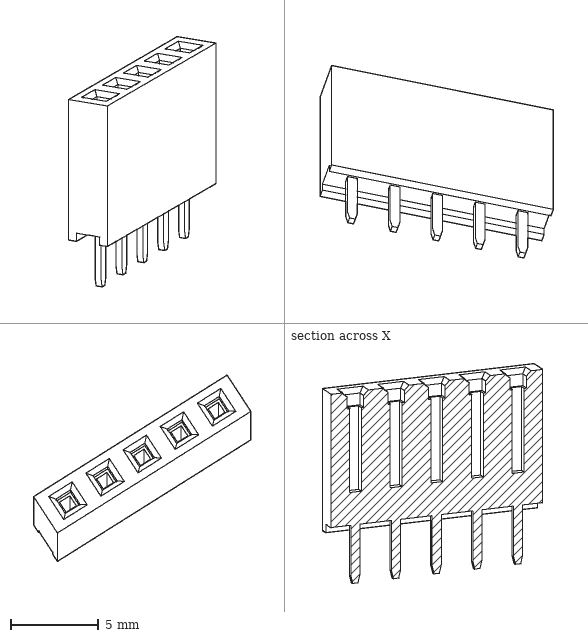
import cadquery as cq

pin_count = 5
pitch = 2.53
width = pitch
length = 13.2
housing_height = 8.5

channel_width = 1.5
channel_depth = 0.5

mouth_size = 1.6
well_size = 1.0
bore_size = 0.7
mouth_depth = (mouth_size - well_size) / 2
well_depth = 1.0
bore_depth = 6.0

pin_thickness = 0.4
pin_width = 0.6
pin_tip_width = 0.34
pin_tip_length = 0.5
pin_reach = 3.0

pin_positions = [(i - (pin_count - 1) / 2) * pitch for i in range(pin_count)]


def make_housing():
    """Block standing on Z = 0 with a channel open at both ends."""
    block = cq.Workplane("XY").box(width, length, housing_height, centered=(True, True, False))
    channel = cq.Workplane("XY").box(channel_width, length, channel_depth, centered=(True, True, False))
    return block.cut(channel)


def make_socket(y):
    """Solid to remove from the top of the housing for one socket."""
    top = cq.Workplane("XY", origin=(0, y, housing_height))
    mouth = (
        top.rect(mouth_size, mouth_size)
        .workplane(offset=-mouth_depth)
        .rect(well_size, well_size)
        .loft(combine=True)
    )
    well = top.rect(well_size, well_size).extrude(-well_depth)
    bore = top.rect(bore_size, bore_size).extrude(-bore_depth)
    return mouth.union(well).union(bore)


def make_pin(y):
    """Pin reaching from the channel roof down to its tapered tip."""
    half_width = pin_width / 2
    half_tip = pin_tip_width / 2
    shoulder_z = pin_tip_length - pin_reach
    outline = [
        (y - half_width, channel_depth),
        (y - half_width, shoulder_z),
        (y - half_tip, -pin_reach),
        (y + half_tip, -pin_reach),
        (y + half_width, shoulder_z),
        (y + half_width, channel_depth),
    ]
    return cq.Workplane("YZ").polyline(outline).close().extrude(pin_thickness / 2, both=True)


result = make_housing()
for pin_y in pin_positions:
    result = result.cut(make_socket(pin_y)).union(make_pin(pin_y))